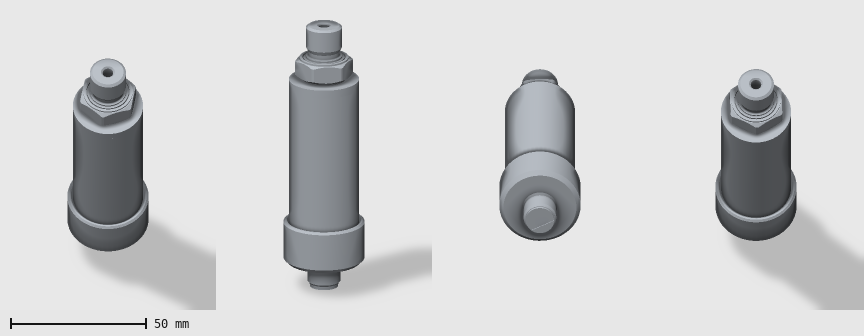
import cadquery as cq
import math


total_height = 102.4
nut_bottom_z = 10.0
nut_top_z = 26.1
housing_top_z = 78.3
cap_top_z = 81.4
hex_bottom_z = 81.9
hex_top_z = 89.4
flange_top_z = 90.0

thread_radius = 6.7
thread_tip_radius = 5.7
thread_tip_height = 0.7
thread_length = 8.4
neck_radius = 5.7
runout_height = 1.5
neck_fillet = 0.3
collar_height = 0.6
flange_radius = 9.0
hex_across_flats = 19.0
hex_corner_radius = 10.7
hex_turn = 24.3
hex_chamfer_angle = 30.0
hex_top_rim_radius = 9.3
pedestal_radius = 7.9
bore_radius = 1.9
bore_mouth_radius = 2.6
bore_depth = 12.3

seal_outer_radius = 7.6
seal_recess_radius = 8.0
seal_height = 0.8

housing_radius = 25.9 / 2
nut_radius = 30.0 / 2
nut_top_chamfer = 0.7
nut_bottom_chamfer = 1.5
nut_mouth_chamfer = 0.7
nut_floor_thickness = 3.1

shell_thread_radius = 6.0
shell_shoulder_radius = 6.3
shell_groove_radius = 5.7
shell_shoulder_height = 1.0
shell_groove_height = 0.5
shell_tip_radius = 5.4
shell_chamfer_top_z = 2.4
shell_chamfer_bottom_z = 1.6
shell_bottom_z = 1.2
insert_radius = 5.2
insert_top_z = 3.1
insert_step_height = 0.3
insert_step_x = 2.3

nut_floor_z = nut_bottom_z + nut_floor_thickness
spigot_radius = shell_groove_radius


def cylinder(radius, bottom_z, top_z):
    return cq.Workplane("XY").workplane(offset=bottom_z).circle(radius).extrude(top_z - bottom_z)


def revolved(points):
    """Turn a closed outline of (radius, z) points about the Z axis."""
    return cq.Workplane("XZ").polyline(points).close().revolve(360, (0, 0, 0), (0, 1, 0))


def make_hexagon():
    """Hexagon with rounded corners and conical chamfers on both ends."""
    height = hex_top_z - hex_bottom_z
    slope = math.tan(math.radians(hex_chamfer_angle))
    top_chamfer = (hex_corner_radius - hex_top_rim_radius) * slope
    bottom_chamfer = (hex_corner_radius - pedestal_radius) * slope
    prism = (
        cq.Workplane("XY")
        .workplane(offset=hex_bottom_z)
        .polygon(6, hex_across_flats, circumscribed=True)
        .extrude(height)
        .rotate((0, 0, 0), (0, 0, 1), hex_turn)
    )
    envelope = revolved([
        (0, hex_bottom_z),
        (pedestal_radius, hex_bottom_z),
        (hex_corner_radius, hex_bottom_z + bottom_chamfer),
        (hex_corner_radius, hex_top_z - top_chamfer),
        (hex_top_rim_radius, hex_top_z),
        (0, hex_top_z),
    ])
    return prism.intersect(envelope)


def make_threaded_stub():
    """Collar, filleted neck and process thread above the flange."""
    collar_top_z = flange_top_z + collar_height
    thread_bottom_z = total_height - thread_length
    neck_top_z = thread_bottom_z - runout_height
    fillet_mid_offset = neck_fillet * (1 - math.sqrt(0.5))
    return (
        cq.Workplane("XZ")
        .moveTo(0, hex_top_z)
        .lineTo(thread_radius, hex_top_z)
        .lineTo(thread_radius, collar_top_z)
        .lineTo(neck_radius + neck_fillet, collar_top_z)
        .threePointArc(
            (neck_radius + fillet_mid_offset, collar_top_z + fillet_mid_offset),
            (neck_radius, collar_top_z + neck_fillet),
        )
        .lineTo(neck_radius, neck_top_z)
        .lineTo(thread_radius, thread_bottom_z)
        .lineTo(thread_radius, total_height - thread_tip_height)
        .lineTo(thread_tip_radius, total_height)
        .lineTo(0, total_height)
        .close()
        .revolve(360, (0, 0, 0), (0, 1, 0))
    )


def make_pressure_bore():
    """Blind bore from the thread tip, with a 45 degree countersink."""
    bore_bottom_z = total_height - bore_depth
    countersink_depth = bore_mouth_radius - bore_radius
    return revolved([
        (0, bore_bottom_z),
        (bore_radius, bore_bottom_z),
        (bore_radius, total_height - countersink_depth),
        (bore_mouth_radius, total_height),
        (0, total_height),
    ])


def ring_around_collar(outer_radius):
    ring = cylinder(outer_radius, flange_top_z - seal_height, flange_top_z)
    return ring.cut(cylinder(thread_radius, flange_top_z - seal_height, flange_top_z))


def make_fitting():
    cap = cylinder(housing_radius, housing_top_z, cap_top_z)
    pedestal = cylinder(pedestal_radius, cap_top_z, hex_bottom_z)
    flange = cylinder(flange_radius, hex_top_z, flange_top_z)
    body = cap.union(pedestal).union(make_hexagon()).union(flange).union(make_threaded_stub())
    return body.cut(ring_around_collar(seal_recess_radius)).cut(make_pressure_bore())


def make_seal():
    return ring_around_collar(seal_outer_radius)


def make_housing():
    return cylinder(housing_radius, nut_floor_z, housing_top_z)


def make_nut():
    """Cup-shaped nut around the foot of the housing, open for the connector spigot."""
    return revolved([
        (spigot_radius, nut_bottom_z),
        (nut_radius - nut_bottom_chamfer, nut_bottom_z),
        (nut_radius, nut_bottom_z + nut_bottom_chamfer),
        (nut_radius, nut_top_z - nut_top_chamfer),
        (nut_radius - nut_top_chamfer, nut_top_z),
        (housing_radius + nut_mouth_chamfer, nut_top_z),
        (housing_radius, nut_top_z - nut_mouth_chamfer),
        (housing_radius, nut_floor_z),
        (spigot_radius, nut_floor_z),
    ])


def make_connector_shell():
    """Threaded shell with a spigot through the nut floor and a socket for the insert."""
    groove_top_z = nut_bottom_z - shell_shoulder_height
    thread_top_z = groove_top_z - shell_groove_height
    return revolved([
        (0, insert_top_z),
        (insert_radius, insert_top_z),
        (insert_radius, shell_bottom_z),
        (shell_tip_radius, shell_bottom_z),
        (shell_tip_radius, shell_chamfer_bottom_z),
        (shell_thread_radius, shell_chamfer_top_z),
        (shell_thread_radius, thread_top_z),
        (shell_groove_radius, thread_top_z),
        (shell_groove_radius, groove_top_z),
        (shell_shoulder_radius, nut_bottom_z),
        (spigot_radius, nut_bottom_z),
        (spigot_radius, nut_floor_z),
        (0, nut_floor_z),
    ])


def make_connector_insert():
    """Round insert whose +X segment stands slightly lower than the rest of its end face."""
    relief = (
        cq.Workplane("XY")
        .rect(2 * insert_radius, 2 * insert_radius)
        .extrude(insert_step_height)
        .translate((insert_step_x - insert_radius, 0, 0))
    )
    return cylinder(insert_radius, 0, insert_top_z).cut(relief)


fitting = make_fitting()
seal = make_seal()
housing = make_housing()
nut = make_nut()
connector_shell = make_connector_shell()
connector_insert = make_connector_insert()

result = cq.Compound.makeCompound([
    fitting.solids().val(),
    seal.solids().val(),
    housing.solids().val(),
    nut.solids().val(),
    connector_shell.solids().val(),
    connector_insert.solids().val(),
])